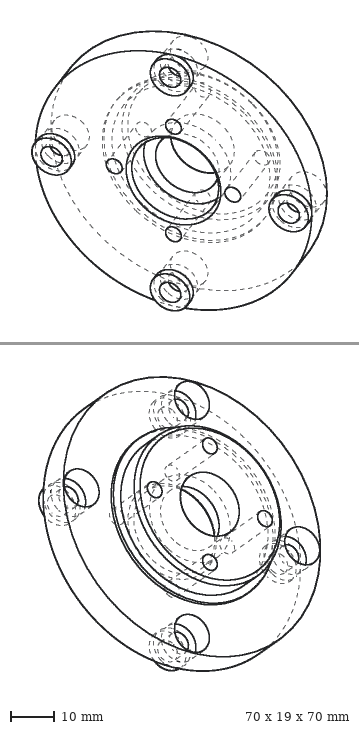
import cadquery as cq

boss_height = 2.0
disc_radius = 35.0
disc_thickness = 9.0

shoulder_radius = 22.0
shoulder_height = 1.0
spigot_radius = 20.0
spigot_height = 7.0
edge_chamfer = 1.0

boss_radius = 5.0
boss_circle_radius = disc_radius - boss_radius
screw_hole_radius = 2.7
screw_head_radius = 4.75
screw_head_depth = 6.0

inner_hole_radius = 2.0
inner_circle_radius = 15.0

bore_radius = 8.0
seat_radius = 11.0
seat_depth = 8.0

disc_front = boss_height
disc_back = disc_front + disc_thickness
shoulder_back = disc_back + shoulder_height
spigot_back = shoulder_back + spigot_height


def rod(radius, start_y, end_y, x=0, z=0):
    """Cylinder parallel to Y between two Y positions."""
    return cq.Workplane("XZ", origin=(x, start_y, z)).circle(radius).extrude(start_y - end_y)


def cross_positions(radius):
    """Four (x, z) places on a circle, one on each half axis."""
    return [(radius, 0), (0, radius), (-radius, 0), (0, -radius)]


def make_flange():
    """Disc with its shoulder and the chamfered spigot."""
    disc = rod(disc_radius, disc_front, disc_back)
    shoulder = rod(shoulder_radius, disc_back, shoulder_back)
    spigot = rod(spigot_radius, shoulder_back, spigot_back).faces(">Y").chamfer(edge_chamfer)
    return disc.union(shoulder).union(spigot)


def make_centre_bore():
    """Through bore, front seat and the chamfer that leads into the seat."""
    bore = rod(bore_radius, disc_front, spigot_back)
    seat = rod(seat_radius, disc_front, disc_front + seat_depth)
    mouth_radius = seat_radius + edge_chamfer
    mouth_centre = cq.Vector(0, disc_front, 0)
    bore_axis = cq.Vector(0, 1, 0)
    mouth = cq.Solid.makeCone(mouth_radius, seat_radius, edge_chamfer, mouth_centre, bore_axis)
    return bore.union(seat).union(cq.Workplane(mouth))


def make_screw_hole(x, z):
    """Through hole with a screw head recess sunk from the back of the disc."""
    hole = rod(screw_hole_radius, 0, disc_back, x, z)
    recess = rod(screw_head_radius, disc_back - screw_head_depth, disc_back, x, z)
    return hole.union(recess)


result = make_flange()
for x, z in cross_positions(boss_circle_radius):
    result = result.union(rod(boss_radius, 0, disc_front, x, z))
    result = result.cut(make_screw_hole(x, z))
for x, z in cross_positions(inner_circle_radius):
    result = result.cut(rod(inner_hole_radius, disc_front, spigot_back, x, z))
result = result.cut(make_centre_bore())